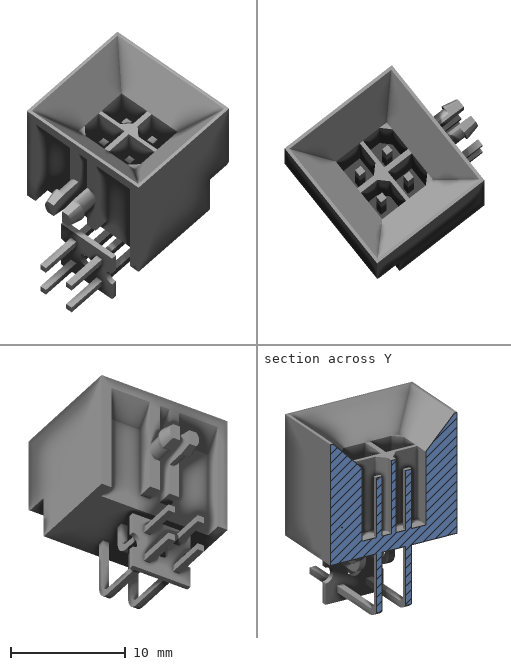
import cadquery as cq

width = 13.0
depth = 11.9
height = 11.6
step_y = 9.4
step_z = 4.1
step_fillet = 0.4

rim = 0.3
funnel_floor_z = 8.6

pitch = 3.0
column_wall = 0.5
row_wall = 0.36
cell_x = 3.0
cell_y = 2.64
cell_chamfer = 0.8
cell_floor_z = 1.6
cells_x = 2 * cell_x + column_wall
cells_y = 2 * cell_y + row_wall
middle_y = depth / 2
cell_offset_x = (cell_x + column_wall) / 2
cell_offset_y = (cell_y + row_wall) / 2

recess_depth = 1.6
recess_width = 11.0
recess_front_z = 10.6
recess_back_z = funnel_floor_z
rib_gap = 1.0
rib_width = 1.0
rib_bottom_z = 1.6

peg_z = 5.7
peg_flat = 1.0
peg_tip_flat = 0.73
peg_axis_x = rib_gap / 2
shaft_radius = 1.05
barb_radius = 1.3
barb_tip_radius = 1.0
barb_y = -1.8
taper_y = -1.95
peg_tip_y = -3.25

pin = 0.64
pin_tip_y = -3.5
pin_top_z = 7.3
front_row_y = 4.46
front_row_z = -2.85
bend_inner_radius = 0.75
bend_radius = bend_inner_radius + pin / 2

plate_width = 5.95
plate_height = 5.6
plate_thickness = 0.5
plate_y = 0.5
plate_hole_radius = 0.75
plate_z = -4.31


def make_block():
    """Stepped side profile extruded across the width."""
    profile = [(0, 0), (step_y, 0), (step_y, step_z), (depth, step_z), (depth, height), (0, height)]
    block = cq.Workplane("YZ").polyline(profile).close().extrude(width / 2, both=True)
    step_edge = cq.selectors.NearestToPointSelector((0, depth, step_z))
    return block.edges(step_edge).fillet(step_fillet)


def make_funnel():
    return (
        cq.Workplane("XY", origin=(0, middle_y, funnel_floor_z))
        .rect(cells_x, cells_y)
        .workplane(offset=height - funnel_floor_z)
        .rect(width - 2 * rim, depth - 2 * rim)
        .loft(ruled=True)
    )


def make_cell(side, row):
    """One cell; side and row are -1 or 1. Each cell has one chamfered corner for keying."""
    x = side * cell_offset_x
    y = middle_y + row * cell_offset_y
    cell = (
        cq.Workplane("XY", origin=(x, y, cell_floor_z))
        .rect(cell_x, cell_y)
        .extrude(funnel_floor_z - cell_floor_z)
    )
    corner_x = x - row * side * cell_x / 2
    corner_y = y - cell_y / 2
    middle_z = (cell_floor_z + funnel_floor_z) / 2
    corner = cq.selectors.NearestToPointSelector((corner_x, corner_y, middle_z))
    return cell.edges("|Z").edges(corner).chamfer(cell_chamfer)


def make_recess():
    profile = [(0, 0), (recess_depth, 0), (recess_depth, recess_back_z), (0, recess_front_z)]
    return cq.Workplane("YZ").polyline(profile).close().extrude(recess_width / 2, both=True)


def make_rib(side):
    x = side * (rib_gap + rib_width) / 2
    return (
        cq.Workplane("XY", origin=(x, recess_depth / 2, rib_bottom_z))
        .rect(rib_width, recess_depth)
        .extrude(recess_front_z - rib_bottom_z)
    )


def peg_section(side, y, radius, flat):
    """Half-round outline with flats above and below, in the XZ plane at the given Y."""
    axis = side * peg_axis_x
    corner_x = axis + side * (radius**2 - flat**2) ** 0.5
    return (
        cq.Workplane("XZ", origin=(0, y, peg_z))
        .moveTo(axis, -flat)
        .lineTo(corner_x, -flat)
        .threePointArc((axis + side * radius, 0), (corner_x, flat))
        .lineTo(axis, flat)
        .close()
    )


def make_peg_half(side):
    shaft = peg_section(side, 0, shaft_radius, peg_flat).extrude(-taper_y)
    barb = peg_section(side, barb_y, barb_radius, peg_flat).extrude(barb_y - taper_y)
    start = peg_section(side, taper_y, barb_radius, peg_flat).wires().val()
    end = peg_section(side, peg_tip_y, barb_tip_radius, peg_tip_flat).wires().val()
    taper = cq.Workplane(cq.Solid.makeLoft([start, end], True))
    return shaft.union(barb).union(taper)


def make_pin(side, row):
    """Square pin swept down from its cell and forward; row is 0 (front) or 1 (back)."""
    x = side * pitch / 2
    y = front_row_y + row * pitch
    z = front_row_z - row * pitch
    diagonal = bend_radius * (1 - 0.5**0.5)
    path = (
        cq.Workplane("YZ", origin=(x, 0, 0))
        .moveTo(y, pin_top_z)
        .lineTo(y, z + bend_radius)
        .threePointArc((y - diagonal, z + diagonal), (y - bend_radius, z))
        .lineTo(pin_tip_y, z)
    )
    return cq.Workplane("XY", origin=(x, y, pin_top_z)).rect(pin, pin).sweep(path)


def make_plate():
    """Plate with a centre hole and a half-round notch in each side."""
    plate = (
        cq.Workplane("XZ", origin=(0, plate_y, plate_z))
        .rect(plate_width, plate_height)
        .extrude(-plate_thickness)
    )
    holes = (
        cq.Workplane("XZ", origin=(0, plate_y, plate_z))
        .pushPoints([(-plate_width / 2, 0), (0, 0), (plate_width / 2, 0)])
        .circle(plate_hole_radius)
        .extrude(-plate_thickness)
    )
    return plate.cut(holes)


sides = (-1, 1)

result = make_block().cut(make_recess())
for side in sides:
    result = result.union(make_rib(side))
result = result.cut(make_funnel())

for side in sides:
    result = result.union(make_peg_half(side))
    for row in (-1, 1):
        result = result.cut(make_cell(side, row))

result = result.union(make_plate())
for side in sides:
    for row in (0, 1):
        result = result.union(make_pin(side, row))